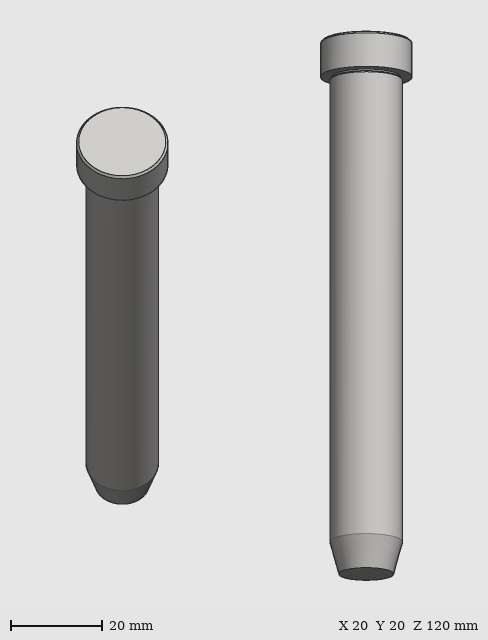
import cadquery as cq

total_length = 120.0

head_diameter = 20.0
head_height = 8.0
head_chamfer = 0.5

groove_diameter = 15.0
groove_width = 0.7

shank_diameter = 16.0
shoulder_height = 0.4
tip_diameter = 12.0
tip_length = 7.2

head_bottom = total_length - head_height
groove_bottom = head_bottom - groove_width


def cylinder(diameter, bottom, top):
    """Solid cylinder on the Z axis between two levels."""
    return cq.Workplane("XY").workplane(offset=bottom).circle(diameter / 2).extrude(top - bottom)


def frustum(bottom_diameter, top_diameter, bottom, height):
    """Solid cone frustum on the Z axis."""
    return (
        cq.Workplane("XY")
        .workplane(offset=bottom)
        .circle(bottom_diameter / 2)
        .workplane(offset=height)
        .circle(top_diameter / 2)
        .loft(ruled=True)
    )


head = cylinder(head_diameter, head_bottom, total_length).faces(">Z").chamfer(head_chamfer)
groove_core = cylinder(groove_diameter, groove_bottom, head_bottom)
shank = cylinder(shank_diameter, tip_length, groove_bottom)
shoulder = frustum(shank_diameter, groove_diameter, groove_bottom, shoulder_height)
tip = frustum(tip_diameter, shank_diameter, 0, tip_length)

result = tip.union(shank).union(shoulder).union(groove_core).union(head)